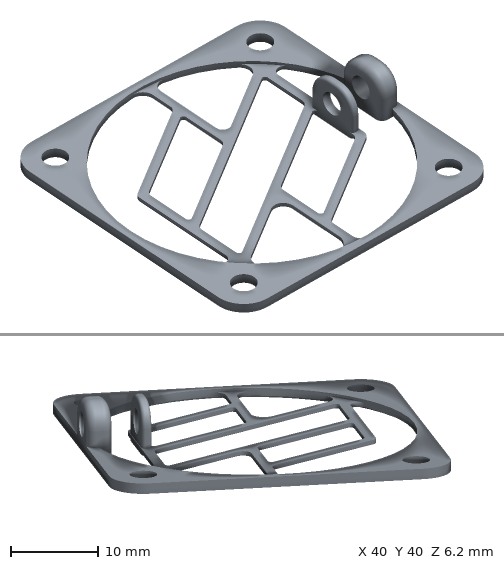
import cadquery as cq
import math

plate_side = 40.0
plate_thickness = 1.25
plate_corner_radius = 4.0
bore_radius = 19.0
underside_recess_radius = 19.6
underside_recess_depth = 0.3
screw_hole_diameter = 3.2
screw_spacing = 32.0

grille_thickness = 0.5
grille_bottom_z = underside_recess_depth
slant_angle = 57.2
slant_bar_width = 1.15
slot_width = 6.05
outer_bar_inner_y = 12.45
outer_bar_outer_y = 13.7
middle_bar_inner_y = 0.5
middle_bar_outer_y = 1.7

acute_radius = 0.4
obtuse_radius = 1.0
segment_rim_radius = 1.0
left_segment_rim_radius = 1.6
right_segment_rim_radius = 1.4
left_tip_radius = 1.0
right_tip_radius = 1.5
left_wedge_rim_radius = 1.4
right_wedge_rim_radius = 2.0
wedge_end_radius = 1.6

lug_width = 7.0
lug_height = 6.2
lug_corner_radius = 3.0
lug_hole_diameter = 3.0
lug_hole_z = lug_height - lug_corner_radius
thick_lug_thickness = 3.0
thick_lug_edge_radius = 1.0
thin_lug_thickness = 1.15
thin_lug_back_y = outer_bar_inner_y + thin_lug_thickness
thin_lug_edge_radius = 0.4

slant_sine = math.sin(math.radians(slant_angle))
inner_bar_inner_x = slot_width / 2 / slant_sine
inner_bar_outer_x = inner_bar_inner_x + slant_bar_width / slant_sine
outer_bar_inner_x = inner_bar_outer_x + slot_width / slant_sine
outer_bar_outer_x = outer_bar_inner_x + slant_bar_width / slant_sine


def on_slant(axis_x, y):
    """Point at height y on the slanted line that crosses the X axis at axis_x."""
    return axis_x - y / math.tan(math.radians(slant_angle)), y


def on_rim(y, side):
    """Point of the bore at height y, on the +X side (side=1) or -X side (side=-1)."""
    return side * math.sqrt(bore_radius**2 - y**2), y


def slant_on_rim(axis_x):
    """Point where the lower end of a slanted line meets the bore."""
    angle = math.radians(slant_angle)
    reach = math.sqrt(bore_radius**2 - (axis_x * math.sin(angle)) ** 2)
    along = axis_x * math.cos(angle) - reach
    return axis_x - along * math.cos(angle), along * math.sin(angle)


def opening(outline, rounded_corners):
    """Prism over the outline, trimmed by the bore, with each (corner, radius) rounded."""
    prism = cq.Workplane("XY").polyline(outline).close().extrude(grille_thickness)
    prism = prism.intersect(cq.Workplane("XY").circle(bore_radius).extrude(grille_thickness))
    for (x, y), radius in rounded_corners:
        corner = cq.NearestToPointSelector((x, y, grille_thickness / 2))
        prism = prism.edges("|Z").edges(corner).fillet(radius)
    return prism


def slot(left_x, right_x, bottom_y, top_y):
    """Parallelogram opening between two slanted bars."""
    top_left = on_slant(left_x, top_y)
    top_right = on_slant(right_x, top_y)
    bottom_right = on_slant(right_x, bottom_y)
    bottom_left = on_slant(left_x, bottom_y)
    return opening(
        [top_left, top_right, bottom_right, bottom_left],
        [
            (top_left, acute_radius),
            (top_right, obtuse_radius),
            (bottom_right, acute_radius),
            (bottom_left, obtuse_radius),
        ],
    )


def right_wedge(tip_radius, rim_radius, end_radius):
    """Three-sided opening below the middle bar on the +X side, closed by the bore."""
    tip = on_slant(inner_bar_outer_x, -middle_bar_outer_y)
    outline = [
        tip,
        (plate_side, -middle_bar_outer_y),
        (plate_side, -plate_side),
        on_slant(inner_bar_outer_x, -plate_side),
    ]
    return opening(
        outline,
        [
            (tip, tip_radius),
            (on_rim(-middle_bar_outer_y, 1), rim_radius),
            (slant_on_rim(inner_bar_outer_x), end_radius),
        ],
    )


def upper_segment(side_rim_radius):
    """Large opening above the grille, between its stepped edge and the bore."""
    upper_bend = on_slant(outer_bar_outer_x, outer_bar_outer_y)
    lower_bend = on_slant(outer_bar_outer_x, -middle_bar_inner_y)
    outline = [
        (-plate_side, outer_bar_outer_y),
        upper_bend,
        lower_bend,
        (plate_side, -middle_bar_inner_y),
        (plate_side, plate_side),
        (-plate_side, plate_side),
    ]
    return opening(
        outline,
        [
            (upper_bend, obtuse_radius),
            (lower_bend, obtuse_radius),
            (on_rim(outer_bar_outer_y, -1), segment_rim_radius),
            (on_rim(-middle_bar_inner_y, 1), side_rim_radius),
        ],
    )


def turned(body):
    """The body after half a turn about the Z axis."""
    return body.rotate((0, 0, 0), (0, 0, 1), 180)


def frame():
    body = cq.Workplane("XY").rect(plate_side, plate_side).extrude(plate_thickness)
    body = body.edges("|Z").fillet(plate_corner_radius)
    body = body.faces(">Z").workplane().circle(bore_radius).cutThruAll()
    recess = cq.Workplane("XY").circle(underside_recess_radius).extrude(underside_recess_depth)
    body = body.cut(recess)
    holes = body.faces(">Z").workplane().rect(screw_spacing, screw_spacing, forConstruction=True)
    return holes.vertices().hole(screw_hole_diameter)


def grille():
    side_slot = slot(inner_bar_outer_x, outer_bar_inner_x, -middle_bar_inner_y, outer_bar_inner_y)
    openings = [
        slot(-inner_bar_inner_x, inner_bar_inner_x, -outer_bar_inner_y, outer_bar_inner_y),
        side_slot,
        turned(side_slot),
        right_wedge(right_tip_radius, right_wedge_rim_radius, wedge_end_radius),
        turned(right_wedge(left_tip_radius, left_wedge_rim_radius, wedge_end_radius)),
        upper_segment(right_segment_rim_radius),
        turned(upper_segment(left_segment_rim_radius)),
    ]
    body = cq.Workplane("XY").circle(bore_radius).extrude(grille_thickness)
    for cutter in openings:
        body = body.cut(cutter)
    return body.translate((0, 0, grille_bottom_z))


def lug(back_y, thickness, edge_radius):
    """Upright eye standing on z = 0, with its rear face at back_y and its rim rounded."""
    body = cq.Workplane("XY").box(lug_width, thickness, lug_height, centered=(True, True, False))
    body = body.edges("|Y and >Z").fillet(lug_corner_radius)
    body = body.faces("<Y or >Y").edges("not <Z").fillet(edge_radius)
    hole = cq.Workplane("XZ", origin=(0, thickness / 2, lug_hole_z)).circle(lug_hole_diameter / 2)
    body = body.cut(hole.extrude(thickness))
    return body.translate((0, back_y - thickness / 2, 0))


thick_lug = lug(plate_side / 2, thick_lug_thickness, thick_lug_edge_radius)
thin_lug = lug(thin_lug_back_y, thin_lug_thickness, thin_lug_edge_radius)
result = frame().union(grille()).union(thick_lug).union(thin_lug)